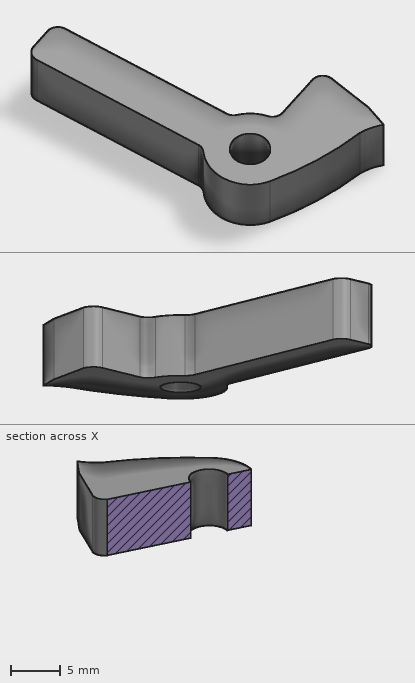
import cadquery as cq
import math

thickness = 6.35
hub_radius = 4.72
bore_diameter = 4.1
arm_length = 25.72
arm_half_width = 2.52
corner_radius = 1.25

head_left_x = -0.05
head_corner_y = 12.67
top_bend = (6.72, 11.35)
tip = (9.28, 10.32)
beak_middle = (8.5, 9.3)
beak_root = (7.9, 8.0)
flank_middle = (6.37, 2.52)
flank_start_x = 4.05
flank_start = (flank_start_x, -math.sqrt(hub_radius**2 - flank_start_x**2))

neck_x = -math.sqrt(hub_radius**2 - arm_half_width**2)
head_root_y = math.sqrt(hub_radius**2 - head_left_x**2)


def diagonal_point(x_sign, y_sign):
    """Point on the hub circle, 45 degrees between the axes."""
    offset = hub_radius * math.sqrt(0.5)
    return (x_sign * offset, y_sign * offset)


profile = (
    cq.Workplane("XY")
    .moveTo(-arm_length, -arm_half_width)
    .lineTo(neck_x, -arm_half_width)
    .threePointArc((0, -hub_radius), flank_start)
    .threePointArc(flank_middle, beak_root)
    .threePointArc(beak_middle, tip)
    .lineTo(*top_bend)
    .lineTo(head_left_x, head_corner_y)
    .lineTo(head_left_x, head_root_y)
    .threePointArc(diagonal_point(-1, 1), (neck_x, arm_half_width))
    .lineTo(-arm_length, arm_half_width)
    .close()
)
body = profile.extrude(thickness)

rounded_corners = [
    (-arm_length, -arm_half_width),
    (-arm_length, arm_half_width),
    (neck_x, -arm_half_width),
    (neck_x, arm_half_width),
    (head_left_x, head_root_y),
    (head_left_x, head_corner_y),
]
for x, y in rounded_corners:
    corner_edge = cq.selectors.NearestToPointSelector((x, y, thickness / 2))
    body = body.edges("|Z").edges(corner_edge).fillet(corner_radius)

bore = cq.Workplane("XY").circle(bore_diameter / 2).extrude(thickness)
result = body.cut(bore)